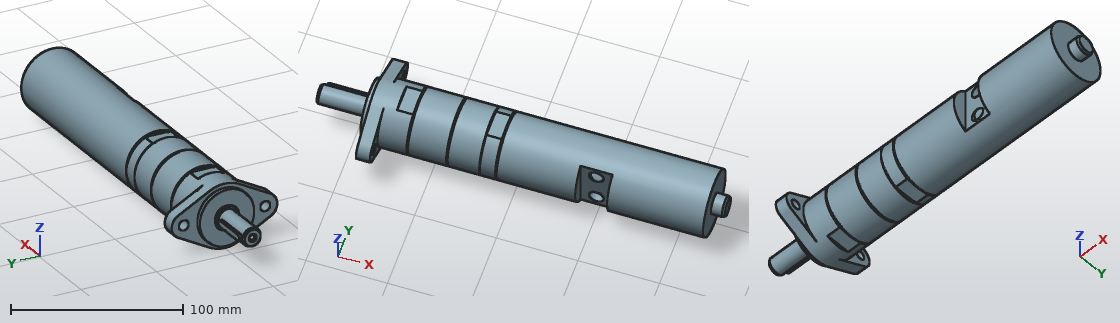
import cadquery as cq
import math

length = 250.2
collar_start = 30.3
pilot_start = 31.0
flange_start = 34.0
flange_end = 42.5
body_end = 242.0

body_diameter = 41.5
pilot_diameter = 36.0
collar_diameter = 16.0
collar_chamfer = 0.5
shaft_diameter = 12.0
shaft_chamfer_length = 1.3
rear_boss_diameter = 13.0
rear_boss_chamfer_length = 1.5
end_chamfer_height = 0.8

center_hole_diameter = 3.3
center_hole_depth = 7.5
drill_point_angle = 118
countersink_diameter = 5.0

key_start = 2.5
key_length = 25.5
key_width = 4.0
key_bottom = 2.5
key_top = 7.5

bolt_offset = 27.0
bolt_hole_diameter = 6.5
flange_end_radius = 8.0

front_groove = (60.3, 61.0)
gearbox_groove = (84.5, 85.3)
coupling_groove = (104.8, 105.0)
rear_groove = (114.5, 115.3)
grooves = (front_groove, gearbox_groove, coupling_groove, rear_groove)
groove_diameter = 39.5

flat_spans = ((50.5, front_groove[0]), (coupling_groove[1], rear_groove[0]))
across_flats = 37.8

notch_center = 173.5
notch_width = 19.5
notch_floor = 11.0
port_offset = 10.3
port_diameter = 9.0
rotor_diameter = 24.8


def cylinder(diameter, start, end):
    """Round bar on the motor axis between two stations."""
    return cq.Workplane("YZ", origin=(start, 0, 0)).circle(diameter / 2).extrude(end - start)


def make_turned_body():
    shaft = cylinder(shaft_diameter, 0, pilot_start)
    shaft = shaft.faces("<X").chamfer(shaft_chamfer_length, end_chamfer_height)
    collar = cylinder(collar_diameter, collar_start, pilot_start)
    collar = collar.faces("<X").chamfer(collar_chamfer)
    pilot = cylinder(pilot_diameter, pilot_start, flange_start)
    housing = cylinder(body_diameter, flange_start, body_end)
    boss = cylinder(rear_boss_diameter, body_end, length)
    boss = boss.faces(">X").chamfer(rear_boss_chamfer_length, end_chamfer_height)
    return housing.union(pilot).union(shaft).union(collar).union(boss)


def make_flange():
    """Plate outline: two small end arcs joined tangentially to the housing circle."""
    body_radius = body_diameter / 2
    sine = (body_radius - flange_end_radius) / bolt_offset
    cosine = math.sqrt(1 - sine**2)
    side_y = body_radius * sine
    side_z = body_radius * cosine
    end_y = bolt_offset + flange_end_radius * sine
    end_z = flange_end_radius * cosine
    tip_y = bolt_offset + flange_end_radius
    plate = (
        cq.Workplane("YZ", origin=(flange_start, 0, 0))
        .moveTo(side_y, side_z)
        .lineTo(end_y, end_z)
        .threePointArc((tip_y, 0), (end_y, -end_z))
        .lineTo(side_y, -side_z)
        .threePointArc((0, -body_radius), (-side_y, -side_z))
        .lineTo(-end_y, -end_z)
        .threePointArc((-tip_y, 0), (-end_y, end_z))
        .lineTo(-side_y, side_z)
        .threePointArc((0, body_radius), (side_y, side_z))
        .close()
        .extrude(flange_end - flange_start)
    )
    bolt_holes = (
        cq.Workplane("YZ", origin=(flange_start, 0, 0))
        .pushPoints([(-bolt_offset, 0), (bolt_offset, 0)])
        .circle(bolt_hole_diameter / 2)
        .extrude(flange_end - flange_start)
    )
    return plate.cut(bolt_holes)


def make_key():
    return (
        cq.Workplane("XZ", origin=(key_start + key_length / 2, key_top, 0))
        .slot2D(key_length, key_width)
        .extrude(key_top - key_bottom)
    )


def make_center_hole():
    radius = center_hole_diameter / 2
    mouth_radius = countersink_diameter / 2
    mouth_depth = mouth_radius - radius
    point_length = radius / math.tan(math.radians(drill_point_angle / 2))
    return (
        cq.Workplane("XY")
        .polyline(
            [
                (0, 0),
                (0, mouth_radius),
                (mouth_depth, radius),
                (center_hole_depth, radius),
                (center_hole_depth + point_length, 0),
            ]
        )
        .close()
        .revolve(360, (0, 0, 0), (1, 0, 0))
    )


def make_groove(start, end):
    return cylinder(body_diameter, start, end).cut(cylinder(groove_diameter, start, end))


def make_flats(start, end):
    kept = cq.Workplane("XY").box(end - start, body_diameter, across_flats)
    kept = kept.translate(((start + end) / 2, 0, 0))
    return cylinder(body_diameter, start, end).cut(kept)


def make_notch():
    depth = body_diameter / 2 - notch_floor
    block = cq.Workplane("XY").box(notch_width, depth, body_diameter)
    return block.translate((notch_center, -(notch_floor + depth / 2), 0))


def make_ports():
    """Two bores down to mid-depth, leaving the rotor standing inside them."""
    bores = (
        cq.Workplane("XZ", origin=(notch_center, 0, 0))
        .pushPoints([(0, -port_offset), (0, port_offset)])
        .circle(port_diameter / 2)
        .extrude(notch_floor)
    )
    rotor = cylinder(rotor_diameter, notch_center - notch_width, notch_center + notch_width)
    return bores.cut(rotor)


result = make_turned_body().union(make_flange()).union(make_key()).cut(make_center_hole())
for groove_start, groove_end in grooves:
    result = result.cut(make_groove(groove_start, groove_end))
for span_start, span_end in flat_spans:
    result = result.cut(make_flats(span_start, span_end))
result = result.cut(make_notch()).cut(make_ports())